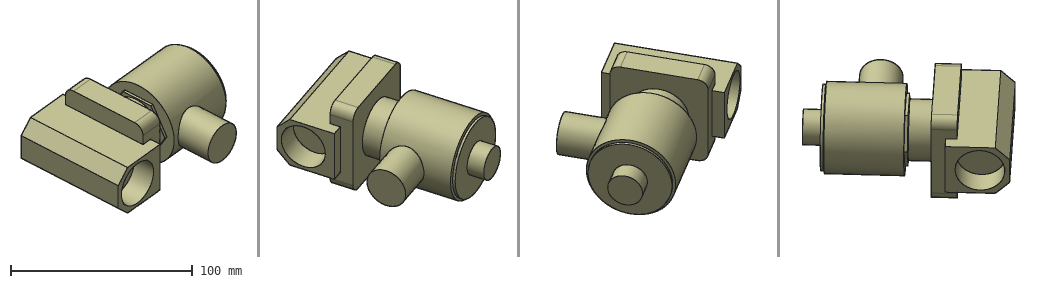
import cadquery as cq
import math


block_length = 70.0
block_height = 31.5
block_depth = 35.6
block_chamfer = 8.0
port_diameter = 27.3
port_depth = 14.0
port_axis_y = 16.4
flange_side = 56.0
flange_corner_radius = 6.0
flange_start_y = 29.3
flange_end_y = 43.5
neck_diameter = 34.1
neck_end_y = 56.7
spigot_diameter = 24.2
spigot_length = 0.3

nut_start_y = neck_end_y + spigot_length
nut_across_flats = 35.0
coil_start_y = 58.7
coil_end_y = 102.7
coil_diameter = 50.9
cap_groove_width = 0.5
cap_groove_diameter = 44.5
cap_start_y = coil_end_y + cap_groove_width
cap_end_y = 104.8
cap_diameter = 47.8
stem_end_y = 115.2
stem_diameter = 19.8
conduit_diameter = 24.1
conduit_axis_y = 74.2
conduit_end_x = 47.0


def plane_at_y(y):
    """Work plane facing +Y, with its origin on the solenoid axis."""
    return cq.Workplane(cq.Plane(origin=(0, y, 0), xDir=(1, 0, 0), normal=(0, 1, 0)))


def cylinder_along_y(diameter, start_y, end_y):
    return plane_at_y(start_y).circle(diameter / 2).extrude(end_y - start_y)


def make_block():
    """Pipe block with its two front edges chamfered."""
    block = cq.Workplane("XY").box(block_length, block_depth, block_height)
    block = block.translate((0, block_depth / 2, 0))
    return block.faces("<Y").edges("|X").chamfer(block_chamfer)


def make_flange():
    flange = plane_at_y(flange_start_y).rect(flange_side, flange_side).extrude(flange_end_y - flange_start_y)
    return flange.edges("|Y").fillet(flange_corner_radius)


def make_port(side):
    """Blind pipe port cut inwards from the block end at side = -1 or +1."""
    end_plane = cq.Plane(
        origin=(side * block_length / 2, port_axis_y, 0),
        xDir=(0, 1, 0),
        normal=(-side, 0, 0),
    )
    return cq.Workplane(end_plane).circle(port_diameter / 2).extrude(port_depth)


def make_valve():
    """Ported block, flange and neck, with a thin spigot that seats the solenoid's nut."""
    neck = cylinder_along_y(neck_diameter, flange_end_y, neck_end_y)
    spigot = cylinder_along_y(spigot_diameter, neck_end_y, nut_start_y)
    valve = make_block().union(make_flange()).union(neck).union(spigot)
    for side in (-1, 1):
        valve = valve.cut(make_port(side))
    return valve


def make_nut():
    """Hexagon with corners on the X axis and flats facing up and down."""
    across_corners = nut_across_flats / math.cos(math.pi / 6)
    return plane_at_y(nut_start_y).polygon(6, across_corners).extrude(coil_start_y - nut_start_y)


def make_conduit():
    conduit = cq.Workplane("YZ").center(conduit_axis_y, 0)
    return conduit.circle(conduit_diameter / 2).extrude(conduit_end_x)


def make_solenoid():
    """Coil with its nut, conduit, grooved cap and end stem."""
    winding = cylinder_along_y(coil_diameter, coil_start_y, coil_end_y)
    groove_core = cylinder_along_y(cap_groove_diameter, coil_end_y, cap_start_y)
    cap = cylinder_along_y(cap_diameter, cap_start_y, cap_end_y)
    stem = cylinder_along_y(stem_diameter, cap_end_y, stem_end_y)
    solenoid = winding.union(make_conduit()).union(make_nut())
    return solenoid.union(groove_core).union(cap).union(stem)


valve = make_valve()
solenoid = make_solenoid()

result = cq.Compound.makeCompound([valve.val(), solenoid.val()])